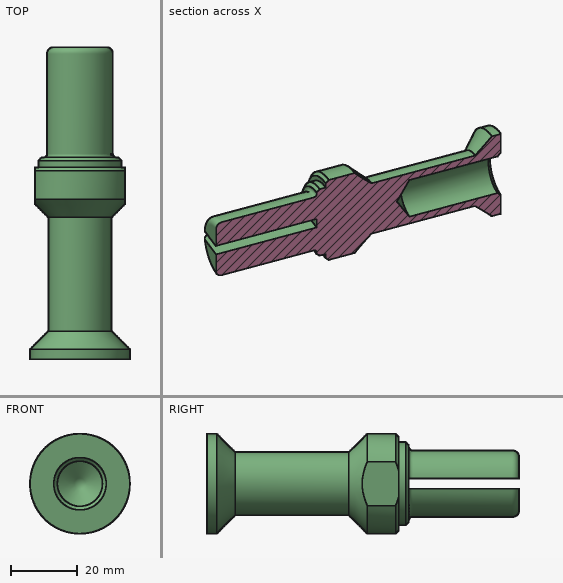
import cadquery as cq
import math

TOTAL_LENGTH = 93.5

OUTER_RADIUS = 15.0
FLANGE_THICKNESS = 3.0
SHAFT_RADIUS = 9.5
CONE_LENGTH = OUTER_RADIUS - SHAFT_RADIUS

COLLAR_START = 48.0
COLLAR_END = 57.5
COLLAR_CHAMFER = 1.0
ACROSS_FLATS = 27.0

SHOULDER_RADIUS = 12.5
SHOULDER_LENGTH = 3.0
SHOULDER_CHAMFER = 1.0

SPIGOT_RADIUS = 10.0
SPIGOT_ROOT_FILLET = 1.0
TIP_ROUND = 2.0
SLOT_WIDTH = 3.0

BORE_RADIUS = 6.75
BORE_MOUTH_RADIUS = 7.85
BORE_DEPTH = 30.0
DRILL_POINT_ANGLE = 118.0

SHOULDER_END = COLLAR_END + SHOULDER_LENGTH
SLOT_DEPTH = TOTAL_LENGTH - SHOULDER_END


def make_body():
    """Turned body: half profile in XY revolved about the Y axis."""
    arc_offset = math.sqrt(0.5)
    root_radius = SPIGOT_RADIUS + SPIGOT_ROOT_FILLET
    root_end = SHOULDER_END + SPIGOT_ROOT_FILLET
    tip_radius = SPIGOT_RADIUS - TIP_ROUND
    tip_start = TOTAL_LENGTH - TIP_ROUND
    root_middle = (
        root_radius - SPIGOT_ROOT_FILLET * arc_offset,
        root_end - SPIGOT_ROOT_FILLET * arc_offset,
    )
    tip_middle = (
        tip_radius + TIP_ROUND * arc_offset,
        tip_start + TIP_ROUND * arc_offset,
    )
    return (
        cq.Workplane("XY")
        .lineTo(OUTER_RADIUS, 0)
        .lineTo(OUTER_RADIUS, FLANGE_THICKNESS)
        .lineTo(SHAFT_RADIUS, FLANGE_THICKNESS + CONE_LENGTH)
        .lineTo(SHAFT_RADIUS, COLLAR_START - CONE_LENGTH)
        .lineTo(OUTER_RADIUS, COLLAR_START)
        .lineTo(OUTER_RADIUS, COLLAR_END - COLLAR_CHAMFER)
        .lineTo(OUTER_RADIUS - COLLAR_CHAMFER, COLLAR_END)
        .lineTo(SHOULDER_RADIUS, COLLAR_END)
        .lineTo(SHOULDER_RADIUS, SHOULDER_END - SHOULDER_CHAMFER)
        .lineTo(SHOULDER_RADIUS - SHOULDER_CHAMFER, SHOULDER_END)
        .lineTo(root_radius, SHOULDER_END)
        .threePointArc(root_middle, (SPIGOT_RADIUS, root_end))
        .lineTo(SPIGOT_RADIUS, tip_start)
        .threePointArc(tip_middle, (tip_radius, TOTAL_LENGTH))
        .lineTo(0, TOTAL_LENGTH)
        .close()
        .revolve(360, (0, 0, 0), (0, 1, 0))
    )


def make_flat_cutter(side):
    """Block that removes the collar beyond one wrench flat; side is +1 or -1 along X."""
    block_width = OUTER_RADIUS
    cone_start = COLLAR_START - CONE_LENGTH
    block_length = COLLAR_END - cone_start
    center_x = side * (ACROSS_FLATS + block_width) / 2
    center_y = (cone_start + COLLAR_END) / 2
    return (
        cq.Workplane("XY")
        .box(block_width, block_length, 2 * OUTER_RADIUS)
        .translate((center_x, center_y, 0))
    )


def make_slot():
    """Slot through the spigot along X, from the tip to the shoulder."""
    return (
        cq.Workplane("XY")
        .box(2 * OUTER_RADIUS, SLOT_DEPTH, SLOT_WIDTH)
        .translate((0, TOTAL_LENGTH - SLOT_DEPTH / 2, 0))
    )


def make_bore():
    """Blind bore with a 45 degree mouth chamfer and a conical bottom."""
    point_length = BORE_RADIUS / math.tan(math.radians(DRILL_POINT_ANGLE / 2))
    mouth_depth = BORE_MOUTH_RADIUS - BORE_RADIUS
    return (
        cq.Workplane("XY")
        .lineTo(BORE_MOUTH_RADIUS, 0)
        .lineTo(BORE_RADIUS, mouth_depth)
        .lineTo(BORE_RADIUS, BORE_DEPTH)
        .lineTo(0, BORE_DEPTH + point_length)
        .close()
        .revolve(360, (0, 0, 0), (0, 1, 0))
    )


result = make_body()
for flat_side in (-1, 1):
    result = result.cut(make_flat_cutter(flat_side))
result = result.cut(make_slot()).cut(make_bore())